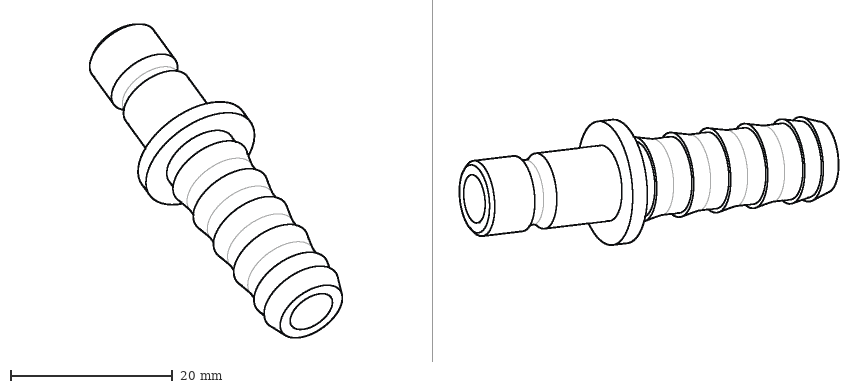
import cadquery as cq
import math

length = 48.0

body_radius = 4.7
chamfer = 0.5
groove_start = 6.0
groove_end = 9.0
groove_depth = 0.65
groove_sag = 0.17

flange_start = 18.0
flange_width = 2.0
flange_diameter = 15.4

tail_radius = 4.75
barb_count = 5
barb_start = 22.5
barb_radius = 5.3
tip_end_radius = 4.4

bore_diameter = 6.0

barb_length = (length - barb_start) / (2 * barb_count)
barb_pitch = 2 * barb_length


def curve_to(profile, start, end):
    """Draw a flank of the groove: an arc sagging toward the axis from its chord."""
    run = end[0] - start[0]
    rise = end[1] - start[1]
    chord = math.hypot(run, rise)
    sag_point = (
        (start[0] + end[0]) / 2 + groove_sag * rise / chord,
        (start[1] + end[1]) / 2 - groove_sag * run / chord,
    )
    return profile.threePointArc(sag_point, end)


def cut_groove(profile):
    """Run the profile along the plug body, through the two concave flanks of the locking groove."""
    near_edge = (groove_start, body_radius)
    bottom = ((groove_start + groove_end) / 2, body_radius - groove_depth)
    far_edge = (groove_end, body_radius)
    profile = profile.lineTo(*near_edge)
    profile = curve_to(profile, near_edge, bottom)
    return curve_to(profile, bottom, far_edge)


def add_flange(profile):
    """Step the profile up and down around the stop flange."""
    flange_end = flange_start + flange_width
    flange_radius = flange_diameter / 2
    return (
        profile.lineTo(flange_start, body_radius)
        .lineTo(flange_start, flange_radius)
        .lineTo(flange_end, flange_radius)
        .lineTo(flange_end, tail_radius)
    )


def add_barb(profile, start):
    """Step the profile up to a sharp rim, then slope back down to the tail."""
    return (
        profile.lineTo(start, tail_radius)
        .lineTo(start, barb_radius)
        .lineTo(start + barb_length, tail_radius)
    )


bore_radius = bore_diameter / 2
profile = (
    cq.Workplane("XZ")
    .moveTo(0, bore_radius)
    .lineTo(0, body_radius - chamfer)
    .lineTo(chamfer, body_radius)
)
profile = cut_groove(profile)
profile = add_flange(profile)
for index in range(barb_count):
    profile = add_barb(profile, barb_start + index * barb_pitch)

profile = (
    profile.lineTo(length - barb_length, barb_radius)
    .lineTo(length, tip_end_radius)
    .lineTo(length, bore_radius)
    .close()
)

result = profile.revolve(360, (0, 0, 0), (1, 0, 0))